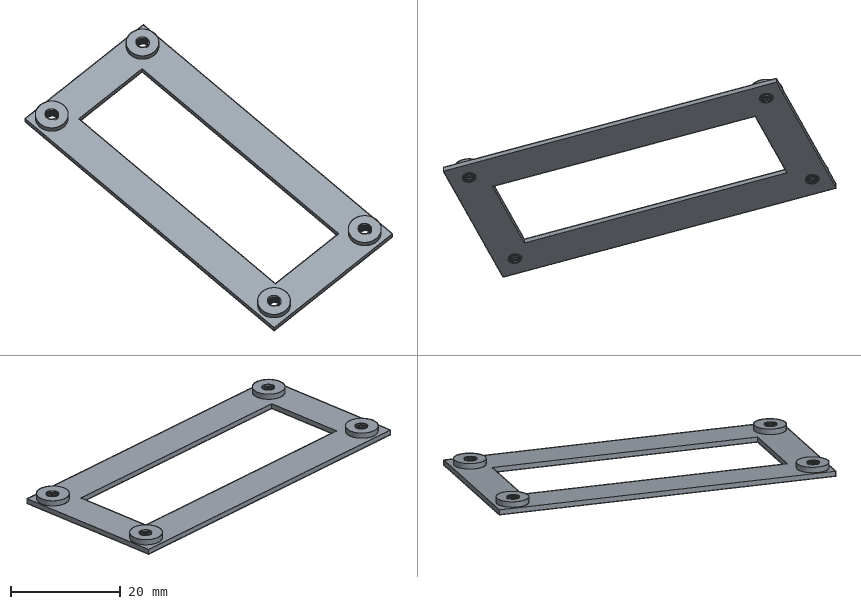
import cadquery as cq
import math

length = 65.0
width = 30.0
plate_thickness = 1.0
window_length = 51.2
window_width = 16.0

boss_diameter = 6.0
boss_height = 1.05
boss_spacing_x = 58.0
boss_spacing_y = 23.0
pattern_center_x = -0.25
pattern_center_y = 0.12
total_height = plate_thickness + boss_height

bore_diameter = 2.1
thread_diameter = 2.55
thread_pitch = 0.45
thread_root_width = thread_pitch / 8
flank_slope = math.tan(math.radians(30))
cutter_overlap = 0.03
turns_below_top = 5
turns_above_top = 1

seam_angle = 90


def make_frame():
    """Plate with its rectangular window."""
    return (
        cq.Workplane("XY")
        .rect(length, width)
        .rect(window_length, window_width)
        .extrude(plate_thickness)
    )


def make_thread_groove():
    """Right-hand 60 degree thread groove, reaching past both ends of the hole.

    The groove is centred on the boss's top face on the -X side of the hole.
    """
    inner_radius = bore_diameter / 2 - cutter_overlap
    outer_radius = thread_diameter / 2
    root_half_width = thread_root_width / 2
    mouth_half_width = root_half_width + (outer_radius - inner_radius) * flank_slope
    turns = turns_below_top + turns_above_top
    start_height = total_height - (turns_below_top + 0.5) * thread_pitch

    helix = cq.Wire.makeHelix(thread_pitch, turns * thread_pitch, bore_diameter / 2)
    groove = (
        cq.Workplane("XZ")
        .moveTo(inner_radius, -mouth_half_width)
        .lineTo(outer_radius, -root_half_width)
        .lineTo(outer_radius, root_half_width)
        .lineTo(inner_radius, mouth_half_width)
        .close()
        .sweep(cq.Workplane(obj=helix), isFrenet=True)
    )
    return groove.translate((0, 0, start_height))


def make_threaded_boss():
    """Boss with its threaded hole, running down through the plate to its bottom face."""
    sleeve = (
        cq.Workplane("XY")
        .circle(boss_diameter / 2)
        .circle(bore_diameter / 2)
        .extrude(total_height)
        .rotate((0, 0, 0), (0, 0, 1), seam_angle)
    )
    return sleeve.cut(make_thread_groove())


boss_centers = [
    (pattern_center_x + side_x * boss_spacing_x / 2, pattern_center_y + side_y * boss_spacing_y / 2)
    for side_x in (-1, 1)
    for side_y in (-1, 1)
]

boss_openings = cq.Workplane("XY").pushPoints(boss_centers).circle(boss_diameter / 2).extrude(plate_thickness)
threaded_boss = make_threaded_boss()

part = make_frame().cut(boss_openings)
for x, y in boss_centers:
    part = part.union(threaded_boss.translate((x, y, 0)))

result = cq.Workplane(obj=part.solids().val())